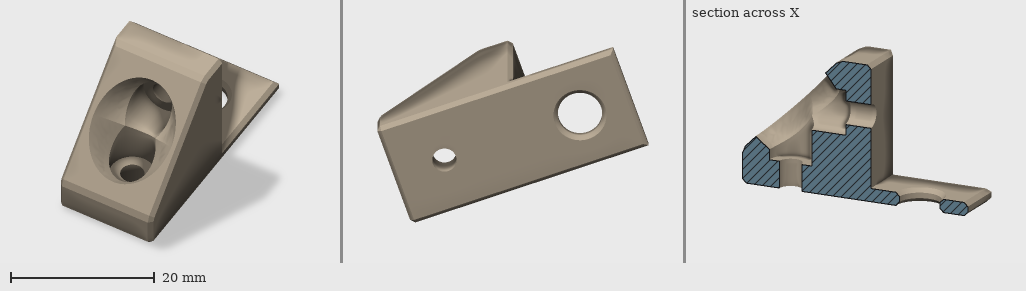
import cadquery as cq
import math

width = 15.0
length = 35.0
height = 20.0

plate_length = 15.0
plate_thickness = 2.0
nose_height = 5.0
slope_run = height - nose_height
chamfer = 0.6

front_y = -length / 2
back_y = length / 2
wall_y = back_y - plate_length
slope_top_y = front_y + slope_run

plate_hole_diameter = 6.2
plate_hole_y = back_y - plate_length / 2
screw_diameter = 3.4
counterbore_diameter = 6.5
seat_thickness = 4.0

slope_mid_y = front_y + slope_run / 2
slope_mid_z = nose_height + slope_run / 2

mouth_width = 12.55
mouth_length = 15.22
flare_apex_depth = 9.62
flare_end_scale = 0.25
slope_tilt = 45
clearance = 10.5


def make_body():
    """Extrude the side profile, centred across the width."""
    profile = [
        (front_y, 0),
        (back_y, 0),
        (back_y, plate_thickness),
        (wall_y, plate_thickness),
        (wall_y, height),
        (slope_top_y, height),
        (front_y, nose_height),
    ]
    return cq.Workplane("YZ").polyline(profile).close().extrude(width / 2, both=True)


def is_chamfered(edge):
    """Tell whether an edge of the plain body is broken by a chamfer."""
    middle = edge.Center()
    box = edge.BoundingBox()
    tolerance = 0.005
    inner_corner = abs(middle.y - wall_y) < tolerance and abs(middle.z - plate_thickness) < tolerance
    plate_corner = abs(middle.y - back_y) < tolerance and box.zlen > chamfer
    sharp_top_side = abs(middle.z - height) < tolerance and middle.x < -width / 2 + tolerance
    return not (inner_corner or plate_corner or sharp_top_side)


def chamfer_edges(body):
    edges = [edge for edge in body.edges().vals() if is_chamfered(edge)]
    return body.newObject(edges).chamfer(chamfer)


def make_plate_hole():
    """Through hole in the plate with both rims chamfered."""
    radius = plate_hole_diameter / 2
    profile = [
        (0, 0),
        (radius + chamfer, 0),
        (radius, chamfer),
        (radius, plate_thickness - chamfer),
        (radius + chamfer, plate_thickness),
        (0, plate_thickness),
    ]
    hole = cq.Workplane("XZ").polyline(profile).close().revolve(360, (0, 0), (0, 1))
    return hole.translate((0, plate_hole_y, 0))


def make_screw_hole(outer_point, inward):
    """Counterbored screw hole running inward from an outer face and out through the slope."""
    start = cq.Vector(*outer_point)
    direction = cq.Vector(*inward)
    seat = start + direction * seat_thickness
    reach = slope_run / 2 + clearance
    screw = cq.Solid.makeCylinder(screw_diameter / 2, seat_thickness, start, direction)
    counterbore = cq.Solid.makeCylinder(counterbore_diameter / 2, reach, seat, direction)
    return cq.Workplane(screw).union(cq.Workplane(counterbore))


def make_flare(direction):
    """Oblique elliptical cone from the mouth on the slope toward a point on one screw axis."""
    tilt = math.radians(slope_tilt)
    inward = cq.Vector(0, math.sin(tilt), -math.cos(tilt))
    across = cq.Vector(1, 0, 0)
    mouth_centre = cq.Vector(0, slope_mid_y, slope_mid_z)
    end_centre = mouth_centre + cq.Vector(*direction) * (flare_apex_depth * (1 - flare_end_scale))
    half_length = mouth_length / 2
    half_width = mouth_width / 2

    def section(centre, scale):
        ellipse = cq.Edge.makeEllipse(
            half_length * scale, half_width * scale, centre, inward, inward.cross(across)
        )
        return cq.Wire.assembleEdges([ellipse])

    sections = [section(mouth_centre, 1), section(end_centre, flare_end_scale)]
    return cq.Workplane(cq.Solid.makeLoft(sections, True))


result = (
    chamfer_edges(make_body())
    .cut(make_plate_hole())
    .cut(make_flare((0, 0, -1)))
    .cut(make_flare((0, 1, 0)))
    .cut(make_screw_hole((0, slope_mid_y, 0), (0, 0, 1)))
    .cut(make_screw_hole((0, wall_y, slope_mid_z), (0, -1, 0)))
)